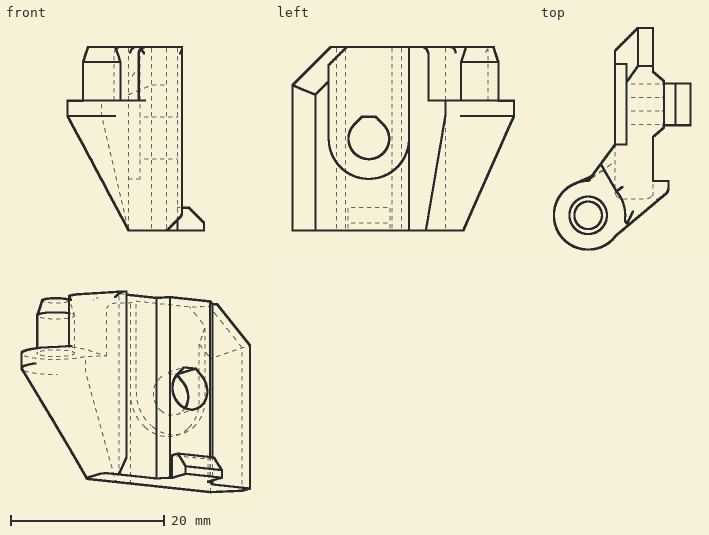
import cadquery as cq
import math

HEIGHT = 24.0

PLATE_LEFT = 3.5
PLATE_RIGHT = 8.5
PLATE_BACK = 24.5
CORNER_CUT = 5.0
PLATE_BEVEL = 3.0

POCKET_Y = 14.5
POCKET_Z = 12.0
POCKET_WIDTH = 10.5
POCKET_DEPTH = 1.5
HOLE_RADIUS = 2.65
HOLE_FLAT_RISE = 2.85

RIB_RIGHT = 9.9
RIB_ROOT_WIDTH = 8.5
RIB_TIP_WIDTH = 6.1
FOOT_RIGHT = 13.4
FOOT_WIDTH = 5.5
FOOT_HEIGHT = 3.0
FOOT_BEVEL = 2.0

PIN_RADIUS = 2.45
PIN_TIP_RADIUS = 1.8
PIN_TAPER = 2.0
DISC_RADIUS = 4.5
DISC_BOTTOM = 15.0
DISC_TOP = 17.0

FLAP_RIGHT = 10.5
FLAP_BACK = 4.5
FLAP_CORNER_Y = 3.1
FLAP_ANGLE = math.radians(40)
FLAP_CORNER_RADIUS = 1.0
RIM_RADIUS = 1.0
WALL_RADIUS = 4.85
WALL_LINE_DISTANCE = 4.77
WALL_NORMAL = math.radians(30)
WALL_END_RADIUS = 0.5

SUPPORT_FRONT = 2.15
SUPPORT_SIDE_END = 7.05
SUPPORT_FRONT_END = 5.75
SUPPORT_CORNER_RADIUS = 1.0
SUPPORT_SEAM_RADIUS = 1.5
UNDERCUT_RADIUS = 0.85

POCKET_RADIUS = POCKET_WIDTH / 2
ARM_ROOT = (PLATE_LEFT, POCKET_Y - POCKET_RADIUS)
DISC_REAR = (0, DISC_RADIUS)
SPAN = 40.0

FLAP_CORNER = (FLAP_RIGHT, FLAP_CORNER_Y)
FLAP_DISTANCE = FLAP_RIGHT * math.sin(FLAP_ANGLE) - FLAP_CORNER_Y * math.cos(FLAP_ANGLE)
FLAP_NORMAL = FLAP_ANGLE - math.pi / 2
DISC_FLAP_ANGLE = FLAP_NORMAL + math.acos(FLAP_DISTANCE / DISC_RADIUS)
SUPPORT_FLAP_X = FLAP_RIGHT - (FLAP_CORNER_Y - SUPPORT_FRONT) / math.tan(FLAP_ANGLE)
WALL_KINK_ANGLE = WALL_NORMAL + math.acos(WALL_LINE_DISTANCE / WALL_RADIUS)


def polar(radius, angle):
    return (radius * math.cos(angle), radius * math.sin(angle))


def box_between(low, high):
    size = [b - a for a, b in zip(low, high)]
    return cq.Workplane("XY").box(*size, centered=False).translate(low)


def nearest_edge(body, point):
    """The edge whose centre lies nearest to the point."""
    return body.edges(cq.selectors.NearestToPointSelector(point))


def prism_y(points, y_low, y_high):
    """Extrude an XZ outline from y_low to y_high."""
    return cq.Workplane("XZ", origin=(0, y_low, 0)).polyline(points).close().extrude(y_low - y_high)


def rim_profile(workplane, wall_offset):
    """Corner piece outside a convex quarter round at the top of a wall."""
    diagonal = RIM_RADIUS * math.sqrt(0.5)
    centre_x = wall_offset + RIM_RADIUS
    centre_z = HEIGHT - RIM_RADIUS
    return (
        workplane.moveTo(wall_offset, centre_z)
        .threePointArc((centre_x - diagonal, centre_z + diagonal), (centre_x, HEIGHT))
        .lineTo(wall_offset, HEIGHT)
        .close()
    )


def straight_rim(distance, normal_angle, inward):
    """Rim corner piece along a straight wall.

    The wall lies at a distance from the pin axis; inward is 1 when the material
    is beyond the wall and -1 when it is on the pin side.
    """
    material = [inward * c for c in polar(1, normal_angle)]
    plane = cq.Plane(
        origin=(0, 0, 0),
        xDir=(material[0], material[1], 0),
        normal=(material[1], -material[0], 0),
    )
    return rim_profile(cq.Workplane(plane), inward * distance).extrude(SPAN / 2, both=True)


def make_plate():
    """Plate behind the arm root, with a cut upper corner and bevelled left edges."""
    outline = [
        (ARM_ROOT[1], 0),
        (PLATE_BACK, 0),
        (PLATE_BACK, HEIGHT - CORNER_CUT),
        (PLATE_BACK - CORNER_CUT, HEIGHT),
        (ARM_ROOT[1], HEIGHT),
    ]
    plate = (
        cq.Workplane("YZ", origin=(PLATE_LEFT, 0, 0))
        .polyline(outline)
        .close()
        .extrude(PLATE_RIGHT - PLATE_LEFT)
    )
    back_edge = (PLATE_LEFT, PLATE_BACK, (HEIGHT - CORNER_CUT) / 2)
    cut_edge = (PLATE_LEFT, PLATE_BACK - CORNER_CUT / 2, HEIGHT - CORNER_CUT / 2)
    left_edges = nearest_edge(plate, back_edge).add(nearest_edge(plate, cut_edge))
    return left_edges.chamfer(PLATE_BEVEL)


def make_rib_and_foot():
    root = RIB_ROOT_WIDTH / 2
    tip = RIB_TIP_WIDTH / 2
    rib = (
        cq.Workplane("XY")
        .polyline([
            (PLATE_RIGHT, POCKET_Y - root),
            (RIB_RIGHT, POCKET_Y - tip),
            (RIB_RIGHT, POCKET_Y + tip),
            (PLATE_RIGHT, POCKET_Y + root),
        ])
        .close()
        .extrude(HEIGHT)
    )
    foot = prism_y(
        [
            (PLATE_RIGHT, 0),
            (FOOT_RIGHT, 0),
            (FOOT_RIGHT, FOOT_HEIGHT - FOOT_BEVEL),
            (FOOT_RIGHT - FOOT_BEVEL, FOOT_HEIGHT),
            (PLATE_RIGHT, FOOT_HEIGHT),
        ],
        POCKET_Y - FOOT_WIDTH / 2,
        POCKET_Y + FOOT_WIDTH / 2,
    )
    return rib.union(foot)


def make_pocket():
    """Pocket with a half-round bottom, open at the top of the plate."""
    return (
        cq.Workplane("YZ", origin=(PLATE_LEFT, 0, 0))
        .moveTo(POCKET_Y - POCKET_RADIUS, HEIGHT)
        .lineTo(POCKET_Y - POCKET_RADIUS, POCKET_Z)
        .threePointArc((POCKET_Y, POCKET_Z - POCKET_RADIUS), (POCKET_Y + POCKET_RADIUS, POCKET_Z))
        .lineTo(POCKET_Y + POCKET_RADIUS, HEIGHT)
        .close()
        .extrude(POCKET_DEPTH)
    )


def make_hole():
    """Round hole with a flat-topped teardrop roof, running through plate and rib."""
    tangent = HOLE_RADIUS * math.sqrt(0.5)
    flat_half = HOLE_RADIUS * math.sqrt(2) - HOLE_FLAT_RISE
    return (
        cq.Workplane("YZ")
        .moveTo(POCKET_Y - tangent, POCKET_Z + tangent)
        .threePointArc((POCKET_Y, POCKET_Z - HOLE_RADIUS), (POCKET_Y + tangent, POCKET_Z + tangent))
        .lineTo(POCKET_Y + flat_half, POCKET_Z + HOLE_FLAT_RISE)
        .lineTo(POCKET_Y - flat_half, POCKET_Z + HOLE_FLAT_RISE)
        .close()
        .extrude(SPAN)
    )


def make_pin_clearance():
    """Space around the pin above the disc, with the flare of the rounded upper rim."""
    kink = polar(WALL_RADIUS, WALL_KINK_ANGLE)
    mitre = math.degrees((WALL_NORMAL + WALL_KINK_ANGLE) / 2)
    round_space = (
        cq.Workplane("XY", origin=(0, 0, DISC_TOP))
        .circle(WALL_RADIUS)
        .extrude(HEIGHT - DISC_TOP)
    )
    round_rim = rim_profile(cq.Workplane("XZ"), WALL_RADIUS).revolve(360, (0, 0, 0), (0, 1, 0))

    wall_box = box_between((-SPAN, -SPAN, DISC_TOP), (WALL_LINE_DISTANCE, SPAN, HEIGHT))
    straight_space = wall_box.rotate((0, 0, 0), (0, 0, 1), math.degrees(WALL_NORMAL))
    straight_rim_piece = straight_rim(WALL_LINE_DISTANCE, WALL_NORMAL, 1)
    beyond_kink = (
        box_between((-SPAN, 0, 0), (SPAN, SPAN, HEIGHT))
        .rotate((0, 0, 0), (0, 0, 1), mitre)
        .translate((kink[0], kink[1], 0))
    )
    space = round_space.union(straight_space.intersect(beyond_kink))
    rim = round_rim.union(straight_rim_piece.intersect(beyond_kink))
    return space, rim


def make_arm():
    """Arm from the disc to the plate, above the support."""
    disc_flap = polar(DISC_RADIUS, DISC_FLAP_ANGLE)
    arm = (
        cq.Workplane("XY", origin=(0, 0, DISC_BOTTOM))
        .moveTo(*ARM_ROOT)
        .lineTo(*DISC_REAR)
        .threePointArc((-DISC_RADIUS, 0), disc_flap)
        .lineTo(*FLAP_CORNER)
        .lineTo(FLAP_RIGHT, FLAP_BACK)
        .lineTo(PLATE_RIGHT, FLAP_BACK)
        .lineTo(PLATE_RIGHT, ARM_ROOT[1])
        .close()
        .extrude(HEIGHT - DISC_BOTTOM)
    )
    space, rim = make_pin_clearance()
    arm = arm.cut(space)
    wall_end = polar(WALL_RADIUS, FLAP_NORMAL + math.acos(FLAP_DISTANCE / WALL_RADIUS))
    wall_end_point = (*wall_end, (DISC_TOP + HEIGHT) / 2)
    arm = nearest_edge(arm, wall_end_point).fillet(WALL_END_RADIUS)
    flap_corner_point = (*FLAP_CORNER, (DISC_BOTTOM + HEIGHT) / 2)
    arm = nearest_edge(arm, flap_corner_point).fillet(FLAP_CORNER_RADIUS)
    return arm.cut(rim).cut(straight_rim(FLAP_DISTANCE, FLAP_NORMAL, -1))


def outline_edges(start, steps, z):
    """Closed loop of edges; each step is (end,) for a line or (middle, end) for an arc."""
    edges = []
    here = cq.Vector(*start, z)
    for step in steps:
        points = [here] + [cq.Vector(*point, z) for point in step]
        is_arc = len(points) > 2
        edges.append(cq.Edge.makeThreePointArc(*points) if is_arc else cq.Edge.makeLine(*points))
        here = points[-1]
    return edges


def ruled_solid(lower, upper):
    """Solid between two flat outlines whose edges pair up in order."""
    sides = [cq.Face.makeRuledSurface(a, b) for a, b in zip(lower, upper)]
    caps = [cq.Face.makeFromWires(cq.Wire.assembleEdges(edges)) for edges in (lower, upper)]
    return cq.Workplane(cq.Solid.makeSolid(cq.Shell.makeShell(sides + caps)))


def make_blend():
    """Blend from the disc outline down to a small rounded corner at the underside."""
    corner_y = SUPPORT_FRONT + SUPPORT_CORNER_RADIUS
    corner_x = PLATE_LEFT + SUPPORT_CORNER_RADIUS
    corner_mid = SUPPORT_CORNER_RADIUS * math.sqrt(0.5)
    side_length = SUPPORT_SIDE_END - corner_y
    corner_length = SUPPORT_CORNER_RADIUS * math.pi / 2
    front_length = SUPPORT_FRONT_END - corner_x
    total_length = side_length + corner_length + front_length

    start = math.pi / 2
    sweep = DISC_FLAP_ANGLE + 2 * math.pi - start
    side_stop = start + sweep * side_length / total_length
    corner_stop = side_stop + sweep * corner_length / total_length
    stops = [start, side_stop, corner_stop, start + sweep]

    shared_steps = [
        ((SUPPORT_FLAP_X, SUPPORT_FRONT),),
        ((PLATE_RIGHT, FLAP_BACK),),
        ((PLATE_RIGHT, ARM_ROOT[1]),),
        (ARM_ROOT,),
    ]
    disc_steps = [
        (polar(DISC_RADIUS, (begin + end) / 2), polar(DISC_RADIUS, end))
        for begin, end in zip(stops, stops[1:])
    ]
    corner_steps = [
        ((PLATE_LEFT, corner_y),),
        ((corner_x - corner_mid, corner_y - corner_mid), (corner_x, SUPPORT_FRONT)),
        ((SUPPORT_FRONT_END, SUPPORT_FRONT),),
    ]
    lower_steps = [((PLATE_LEFT, SUPPORT_SIDE_END),)] + corner_steps + shared_steps
    upper_steps = [(DISC_REAR,)] + disc_steps + shared_steps
    return ruled_solid(
        outline_edges(ARM_ROOT, lower_steps, 0),
        outline_edges(ARM_ROOT, upper_steps, DISC_BOTTOM),
    )


def make_undercut():
    """45 degree wedge below the part of the flap that reaches past the plate."""
    reach = FLAP_RIGHT - PLATE_RIGHT
    return prism_y([(PLATE_RIGHT, 0), (FLAP_RIGHT, 0), (FLAP_RIGHT, reach)], -FLAP_BACK, FLAP_BACK)


def make_support():
    """Blend and flap below the arm, with their seam and undercut rounded."""
    flap = (
        cq.Workplane("XY")
        .polyline([
            (SUPPORT_FLAP_X, SUPPORT_FRONT),
            FLAP_CORNER,
            (FLAP_RIGHT, FLAP_BACK),
            (PLATE_RIGHT, FLAP_BACK),
        ])
        .close()
        .extrude(DISC_BOTTOM)
    )
    flap = nearest_edge(flap, (*FLAP_CORNER, DISC_BOTTOM / 2)).fillet(FLAP_CORNER_RADIUS)
    support = make_blend().union(flap)
    seam = (SUPPORT_FLAP_X, SUPPORT_FRONT, DISC_BOTTOM / 2)
    support = nearest_edge(support, seam).fillet(SUPPORT_SEAM_RADIUS)

    support = support.cut(make_undercut())
    edge_x = (PLATE_RIGHT + SUPPORT_FLAP_X) / 2
    return nearest_edge(support, (edge_x, SUPPORT_FRONT, edge_x - PLATE_RIGHT)).fillet(UNDERCUT_RADIUS)


def make_pin():
    return (
        cq.Workplane("XZ")
        .polyline([
            (0, DISC_BOTTOM),
            (PIN_RADIUS, DISC_BOTTOM),
            (PIN_RADIUS, HEIGHT - PIN_TAPER),
            (PIN_TIP_RADIUS, HEIGHT),
            (0, HEIGHT),
        ])
        .close()
        .revolve(360, (0, 0, 0), (0, 1, 0))
    )


body = make_plate().union(make_arm()).union(make_support())
body = body.union(make_rib_and_foot()).union(make_pin())
result = body.cut(make_pocket()).cut(make_hole())